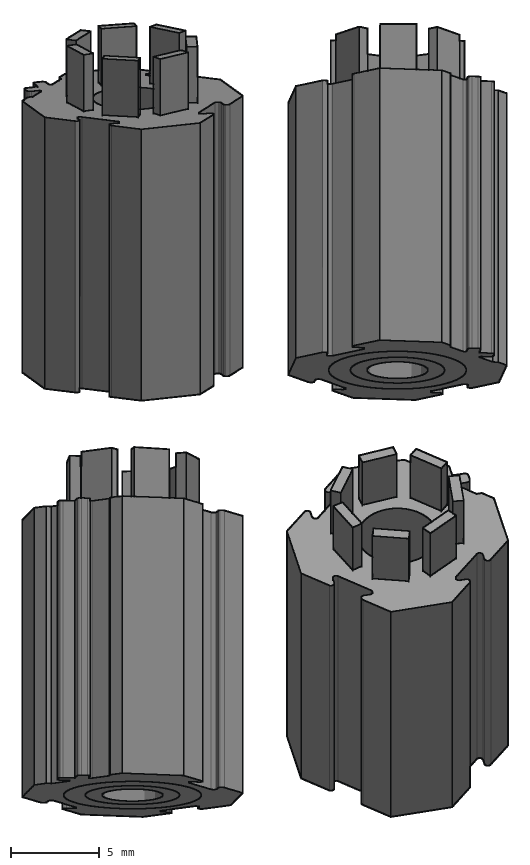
import cadquery as cq
import math

TOTAL_HEIGHT = 19.3
HOUSING_HEIGHT = 15.98

HOUSING_WIDTH = 11.0
CORNER_CHAMFER = 2.5
HALF_WIDTH = HOUSING_WIDTH / 2

BORE_TOP_DIAMETER = 4.5
BORE_BOTTOM_DIAMETER = 3.44

GROOVE_DEPTH = 0.9
GROOVE_MOUTH_HALF = 0.65
GROOVE_ROUND = 0.2
GROOVE_ANGLES = (0, 90, 270)

RELIEF_DEPTH = 0.21
RELIEF_HALF_WIDTH = 2.18

KEY_REACH = 6.39
KEY_ROOT_HALF = 0.5
KEY_NOTCH_X = -5.85
KEY_TIP_ROUND = 0.21
KEY_SIDE_ROUND = 0.21
KEY_ROOT_ROUND = 0.12

BLADE_COUNT = 7
BLADE_RADIUS = 3.34
BLADE_WIDTH = 2.07
BLADE_THICKNESS = 0.62
RING_OUTER_DIAMETER = 7.78
RING_INNER_DIAMETER = 5.33
RING_HEIGHT = 1.93


def octagonal_block():
    block = cq.Workplane("XY").rect(HOUSING_WIDTH, HOUSING_WIDTH).extrude(HOUSING_HEIGHT)
    return block.edges("|Z").chamfer(CORNER_CHAMFER)


def dovetail_groove(angle):
    """Cutter for one groove, with sharp lips and a rounded floor."""
    floor_x = HALF_WIDTH - GROOVE_DEPTH
    floor_half = GROOVE_MOUTH_HALF + GROOVE_DEPTH
    outline = [
        (HALF_WIDTH, GROOVE_MOUTH_HALF),
        (floor_x, floor_half),
        (floor_x, -floor_half),
        (HALF_WIDTH, -GROOVE_MOUTH_HALF),
    ]
    groove = cq.Workplane("XY").polyline(outline).close().extrude(HOUSING_HEIGHT)
    groove = groove.edges("|Z and <X").fillet(GROOVE_ROUND)
    return groove.rotate((0, 0, 0), (0, 0, 1), angle)


def on_grooved_lip(edge):
    """True for the upright edges where a groove meets the outer face."""
    x = abs(edge.Center().x)
    y = abs(edge.Center().y)
    return math.isclose(max(x, y), HALF_WIDTH) and math.isclose(min(x, y), GROOVE_MOUTH_HALF)


def cut_grooves(block):
    for angle in GROOVE_ANGLES:
        block = block.cut(dovetail_groove(angle))
    lips = [edge for edge in block.edges("|Z").vals() if on_grooved_lip(edge)]
    return block.newObject(lips).fillet(GROOVE_ROUND)


def key_relief():
    floor_x = RELIEF_DEPTH - HALF_WIDTH
    floor_half = RELIEF_HALF_WIDTH - RELIEF_DEPTH
    outline = [
        (-HALF_WIDTH, RELIEF_HALF_WIDTH),
        (floor_x, floor_half),
        (floor_x, -floor_half),
        (-HALF_WIDTH, -RELIEF_HALF_WIDTH),
    ]
    return cq.Workplane("XY").polyline(outline).close().extrude(HOUSING_HEIGHT)


def add_split_key(block):
    root_x = RELIEF_DEPTH - HALF_WIDTH
    tip_x = -KEY_REACH - (math.sqrt(2) - 1) * KEY_TIP_ROUND
    tip_y = KEY_NOTCH_X - tip_x
    flank_sum = root_x + KEY_ROOT_HALF
    end_difference = tip_y - tip_x
    side_x = (flank_sum - end_difference) / 2
    side_y = (flank_sum + end_difference) / 2
    outline = [
        (root_x, KEY_ROOT_HALF),
        (side_x, side_y),
        (tip_x, tip_y),
        (KEY_NOTCH_X, 0),
        (tip_x, -tip_y),
        (side_x, -side_y),
        (root_x, -KEY_ROOT_HALF),
    ]

    def round_corners(body, x, y, radius):
        corners = [
            edge for edge in body.edges("|Z").vals()
            if math.isclose(edge.Center().x, x) and math.isclose(abs(edge.Center().y), y)
        ]
        return body.newObject(corners).fillet(radius)

    key = cq.Workplane("XY").polyline(outline).close().extrude(HOUSING_HEIGHT)
    key = round_corners(key, tip_x, tip_y, KEY_TIP_ROUND)
    key = round_corners(key, side_x, side_y, KEY_SIDE_ROUND)
    return round_corners(block.union(key), root_x, KEY_ROOT_HALF, KEY_ROOT_ROUND)


def tapered_bore():
    bore = cq.Workplane("XY").circle(BORE_BOTTOM_DIAMETER / 2)
    bore = bore.workplane(offset=HOUSING_HEIGHT).circle(BORE_TOP_DIAMETER / 2)
    return bore.loft(ruled=True)


def make_contact_crown():
    """Base ring flush with the housing bottom, with blades rising through the top."""
    crown = cq.Workplane("XY").circle(RING_OUTER_DIAMETER / 2).circle(RING_INNER_DIAMETER / 2)
    crown = crown.extrude(RING_HEIGHT)
    for index in range(BLADE_COUNT):
        blade = cq.Workplane("XY").center(-BLADE_RADIUS, 0).rect(BLADE_THICKNESS, BLADE_WIDTH)
        blade = blade.extrude(TOTAL_HEIGHT)
        crown = crown.union(blade.rotate((0, 0, 0), (0, 0, 1), index * 360 / BLADE_COUNT))
    return crown


def make_housing(contact_crown):
    """Housing with a recess and slots that match the contact crown."""
    body = cut_grooves(octagonal_block())
    body = add_split_key(body.cut(key_relief()))
    return body.cut(tapered_bore()).cut(contact_crown)


contact_crown = make_contact_crown()
housing = make_housing(contact_crown)

result = cq.Compound.makeCompound([housing.solids().val(), contact_crown.solids().val()])